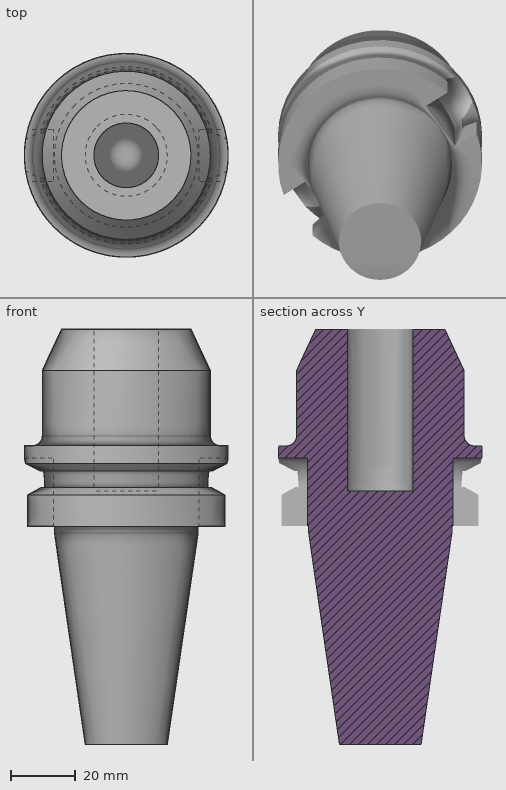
import cadquery as cq
import math


gauge_radius = 44.45 / 2
taper_length = 65.4
taper_ratio = 7 / 24
taper_end_radius = gauge_radius - taper_length * taper_ratio / 2

flange_radius = 63.0 / 2
flange_bottom_z = 2.0
flange_top_z = 27.0

groove_center_z = 16.6
groove_root_radius = 53.0 / 2
groove_root_half_width = 5.0 / 2
groove_mouth_half_width = 4.88
groove_wall_slope = math.tan(math.radians(30))
groove_mouth_depth = (groove_mouth_half_width - groove_root_half_width) / groove_wall_slope
groove_wall_inner_radius = flange_radius - groove_mouth_depth

nose_z = 63.0
nose_radius = 20.0
body_radius = 26.0
nose_cone_angle = 25.0
nose_cone_height = (body_radius - nose_radius) / math.tan(math.radians(nose_cone_angle))
body_fillet = 3.0

bore_diameter = 20.0
bore_depth = 50.0

slot_width = 16.1
slot_floor_distance = 22.5
slot_top_z = 23.1


def make_turned_body():
    """Revolve the half profile of the holder about Z."""
    fillet_middle_offset = body_fillet * (1 - math.sqrt(0.5))
    return (
        cq.Workplane("XZ")
        .moveTo(0, -taper_length)
        .lineTo(taper_end_radius, -taper_length)
        .lineTo(gauge_radius, 0)
        .lineTo(gauge_radius, flange_bottom_z)
        .lineTo(flange_radius, flange_bottom_z)
        .lineTo(flange_radius, groove_center_z - groove_mouth_half_width)
        .lineTo(groove_wall_inner_radius, groove_center_z - groove_root_half_width)
        .lineTo(groove_root_radius, groove_center_z - groove_root_half_width)
        .lineTo(groove_root_radius, groove_center_z + groove_root_half_width)
        .lineTo(groove_wall_inner_radius, groove_center_z + groove_root_half_width)
        .lineTo(flange_radius, groove_center_z + groove_mouth_half_width)
        .lineTo(flange_radius, flange_top_z)
        .lineTo(body_radius + body_fillet, flange_top_z)
        .threePointArc(
            (body_radius + fillet_middle_offset, flange_top_z + fillet_middle_offset),
            (body_radius, flange_top_z + body_fillet),
        )
        .lineTo(body_radius, nose_z - nose_cone_height)
        .lineTo(nose_radius, nose_z)
        .lineTo(0, nose_z)
        .close()
        .revolve(360, (0, 0, 0), (0, 1, 0))
    )


def make_bore():
    """Flat-bottomed tool bore, entering from the nose."""
    bore_bottom = cq.Workplane("XY").workplane(offset=nose_z - bore_depth)
    return bore_bottom.circle(bore_diameter / 2).extrude(bore_depth)


def make_drive_slot():
    """Round-topped slot on the +X side, open at the flange bottom."""
    half_width = slot_width / 2
    arc_center_z = slot_top_z - half_width
    return (
        cq.Workplane("YZ")
        .workplane(offset=slot_floor_distance)
        .moveTo(-half_width, flange_bottom_z)
        .lineTo(half_width, flange_bottom_z)
        .lineTo(half_width, arc_center_z)
        .threePointArc((0, slot_top_z), (-half_width, arc_center_z))
        .close()
        .extrude(flange_radius - slot_floor_distance)
    )


result = make_turned_body().cut(make_bore())
for slot_angle in (0, 180):
    result = result.cut(make_drive_slot().rotate((0, 0, 0), (0, 0, 1), slot_angle))